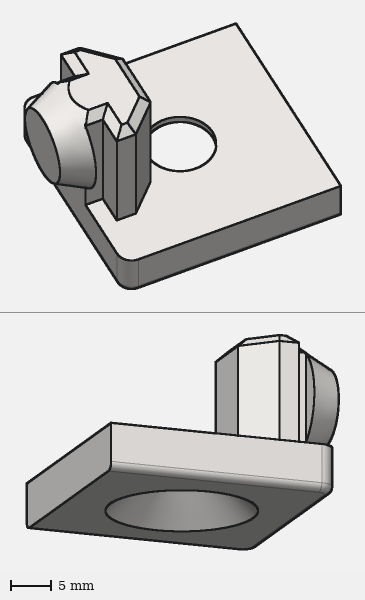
import cadquery as cq
import math


plate_side = 30.0
plate_height = 6.0
corner_radius = 2.0
bottom_edge_radius = 1.0
hole_diameter = 9.0
hole_straight_depth = 1.0
countersink_depth = plate_height - hole_straight_depth
countersink_diameter = hole_diameter + 2 * countersink_depth

total_height = 22.0
post_width = 15.98
post_depth = 9.0
neck_width = 8.0
neck_depth = 2.38
back_bevel = (post_width - neck_width) / 2
top_bevel_inset = 1.3
top_bevel_height = 1.15

button_length = 4.0
button_tip_radius = 5.0
button_base_radius = 7.0
button_center_z = total_height - button_base_radius


def base_plate():
    plate = cq.Workplane("XY").box(plate_side, plate_side, plate_height, centered=(True, False, False))
    plate = plate.edges("|Z and <Y").fillet(corner_radius)
    plate = plate.faces("<Z").edges("not >Y").fillet(bottom_edge_radius)
    hole_center = cq.Workplane("XY").center(0, plate_side / 2)
    hole = hole_center.circle(hole_diameter / 2).extrude(plate_height)
    countersink = hole_center.circle(countersink_diameter / 2)
    countersink = countersink.workplane(offset=countersink_depth).circle(hole_diameter / 2).loft()
    return plate.cut(hole).cut(countersink)


def post_outline(neck_front_y, inset=0):
    """Corners of the T-shaped outline, with every side moved inward by inset."""
    half_neck = neck_width / 2 - inset
    half_post = post_width / 2 - inset
    front_y = neck_front_y + inset
    wing_front_y = neck_depth + inset
    rear_y = post_depth - inset
    corner_shift = inset * math.tan(math.pi / 8)
    rear_half_width = post_width / 2 - back_bevel - corner_shift
    bevel_start_y = post_depth - back_bevel - corner_shift
    right_side = [
        (half_neck, front_y),
        (half_neck, wing_front_y),
        (half_post, wing_front_y),
        (half_post, bevel_start_y),
        (rear_half_width, rear_y),
    ]
    left_side = [(-x, y) for x, y in reversed(right_side)]
    return right_side + left_side


def beveled_post(neck_front_y):
    """T-shaped post, beveled all round the top, with its neck starting at neck_front_y."""
    outline = post_outline(neck_front_y)
    top_outline = post_outline(neck_front_y, top_bevel_inset)
    shaft_height = total_height - top_bevel_height - plate_height
    shaft = cq.Workplane("XY").workplane(offset=plate_height).polyline(outline).close().extrude(shaft_height)
    cap = shaft.faces(">Z").workplane(origin=(0, 0, 0)).polyline(outline).close()
    cap = cap.workplane(offset=top_bevel_height).polyline(top_outline).close()
    return shaft.union(cap.loft(ruled=True, combine=False))


def button_cone(rear_y):
    """Cone widening from the button tip back to rear_y."""
    slope = (button_base_radius - button_tip_radius) / button_length
    rear_radius = button_base_radius + slope * rear_y
    profile = [
        (0, -button_length),
        (button_tip_radius, -button_length),
        (rear_radius, rear_y),
        (0, rear_y),
    ]
    cone = cq.Workplane("XY").polyline(profile).close().revolve(360, (0, 0), (0, 1))
    return cone.translate((0, 0, button_center_z))


neck_root = beveled_post(-button_length).intersect(button_cone(neck_depth))
neck_room = cq.Workplane("XY").box(neck_width, neck_depth, total_height, centered=(True, False, False))
neck_root = neck_root.intersect(neck_room)

result = base_plate().union(beveled_post(0)).union(button_cone(0)).union(neck_root).clean()